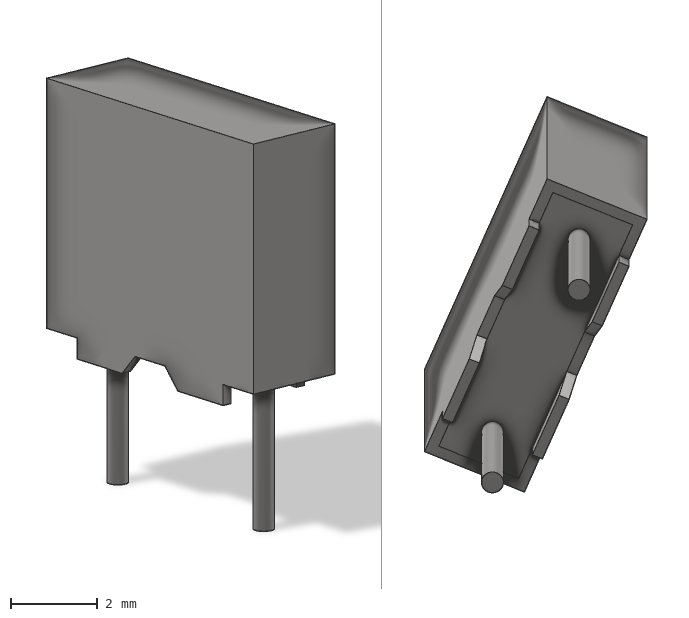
import cadquery as cq

case_length = 7.2
case_width = 2.5
total_height = 9.7
case_height = 6.0
lead_length = total_height - case_height

lead_pitch = 5.08
lead_diameter = 0.5

wall = 0.25
skirt_depth = 0.5
skirt_length = lead_pitch
notch_top_length = 1.04
notch_bottom_length = 1.94

core_length = case_length - 2 * wall
core_width = case_width - 2 * wall
core_height = case_height - wall


def make_block(length, width, height):
    """Block centred in X and Y, standing on Z = 0."""
    return cq.Workplane("XY").box(length, width, height, centered=(True, True, False))


def make_skirt_half(back_y, side):
    """Half of a skirt on one side of the notch; side is -1 or +1 along X."""
    return (
        cq.Workplane("XZ", origin=(0, back_y, 0))
        .moveTo(side * skirt_length / 2, 0)
        .lineTo(side * skirt_length / 2, -skirt_depth)
        .lineTo(side * notch_bottom_length / 2, -skirt_depth)
        .lineTo(side * notch_top_length / 2, 0)
        .close()
        .extrude(wall)
    )


def make_case():
    """Box open at the bottom, with a notched skirt under each long wall."""
    case = make_block(case_length, case_width, case_height)
    case = case.cut(make_block(core_length, core_width, core_height))
    for back_y in (case_width / 2, wall - case_width / 2):
        for side in (-1, 1):
            case = case.union(make_skirt_half(back_y, side))
    return case


def make_leaded_core():
    """Core filling the case, with two round leads below it."""
    leads = (
        cq.Workplane("XY")
        .pushPoints([(-lead_pitch / 2, 0), (lead_pitch / 2, 0)])
        .circle(lead_diameter / 2)
        .extrude(-lead_length)
    )
    return make_block(core_length, core_width, core_height).union(leads)


case = make_case()
leaded_core = make_leaded_core()

result = cq.Compound.makeCompound([case.solids().val(), leaded_core.solids().val()])